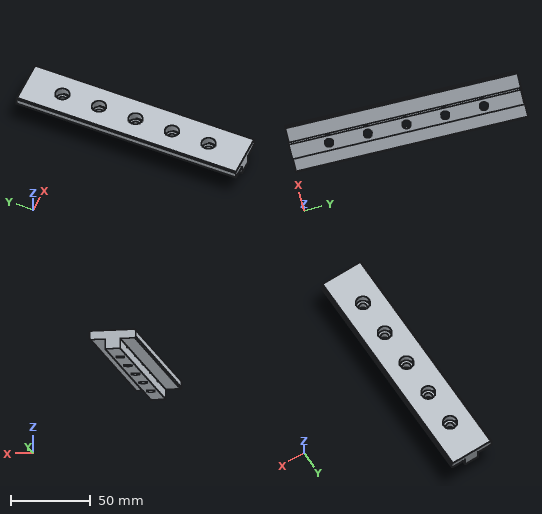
import cadquery as cq

length = 150.0
flange_width = 29.8
height = 12.0

flange_thickness = 5.7
stem_width = 9.6
edge_chamfer = 0.8

hole_count = 5
hole_pitch = length / (hole_count + 1)
hole_diameter = 5.2
counterbore_diameter = 9.0
counterbore_depth = 6.0


def make_flange():
    """Top plate with all four long edges chamfered."""
    plate = cq.Workplane("XY").box(flange_width, length, flange_thickness)
    plate = plate.edges("|Y").chamfer(edge_chamfer)
    return plate.translate((0, 0, height - flange_thickness / 2))


def make_stem():
    """Narrow rib running under the plate, its underside at Z = 0."""
    stem_height = height - flange_thickness / 2
    return cq.Workplane("XY").box(stem_width, length, stem_height, centered=(True, True, False))


def cut_screw_holes(body):
    """Through holes along the centre line, counterbored from the top."""
    return (
        body.faces(">Z")
        .workplane(origin=(0, 0, height))
        .rarray(1.5, hole_pitch, 1, hole_count)
        .cboreHole(hole_diameter, counterbore_diameter, counterbore_depth)
    )


result = cut_screw_holes(make_flange().union(make_stem()))